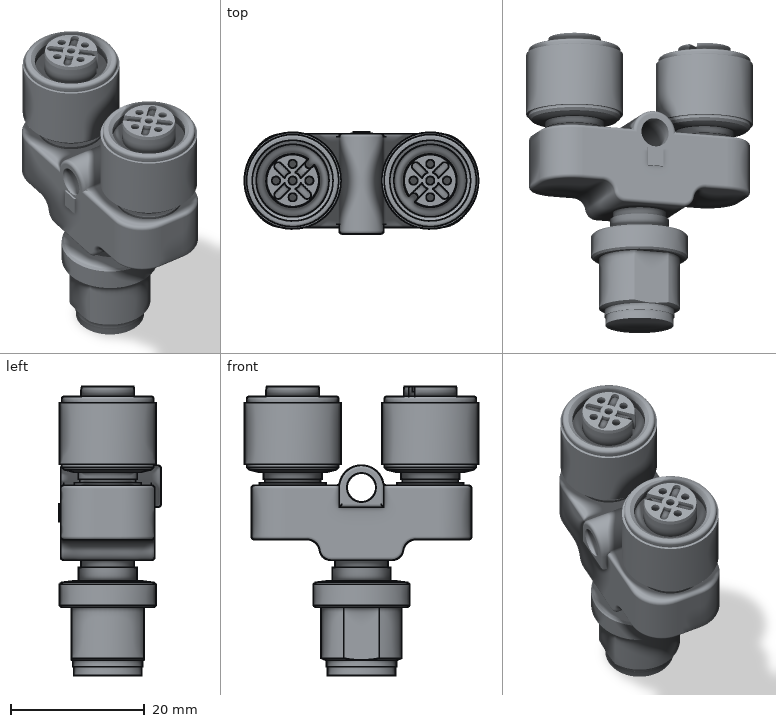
import math

import cadquery as cq


nut_radius = 7.25
nut_rim_radius = 6.9
nut_cone_radius = 4.9
neck_radius = 4.4

body_length = 33.0
body_depth = 14.1
body_top = 28.5
wing_bottom = 20.35
stem_bottom = 17.25
body_corner_radius = 5.0
stem_flat_length = 9.1
stem_inner_radius = 1.9
stem_outer_radius = 1.75
edge_radius = 0.5

eye_radius = 3.35
eye_hole_diameter = 4.3
eye_center_z = 28.15
eye_bottom = 25.2
eye_front = -8.0
eye_root_radius = 0.4

pad_width = 2.5
pad_bottom = 23.0
pad_top = 25.75
pad_thickness = 0.26

plug_tip_radius = 5.12
plug_tip_height = 1.3
plug_ring_radius = 5.25
plug_ring_top = 2.25
grip_radius = 6.07
grip_bottom = 2.6
grip_flat_distance = 10.9
collar_bottom = 10.2
collar_top = 13.95
collar_step = 0.3
plug_cone_top = 14.2
plug_neck_top = 16.2
stem_neck_radius = 4.0

socket_offset = 10.3
flange_radius = 5.0
flange_top = 28.9
groove_radius = 4.2
groove_top = 29.4
socket_cone_bottom = 30.4
nut_bottom = 30.8
nut_body_bottom = 31.6
nut_body_top = 40.85
nut_top = 41.8
rim_round = 0.4
bore_mouth_radius = 6.05
bore_radius = 5.45
bore_chamfer_depth = 0.5
bore_floor = 40.0

carrier_radius = 4.0
carrier_tip_radius = 3.9
carrier_tip_height = 0.55
carrier_top = 43.3
contact_diameter = 1.25
contact_spacing = 2.5
contact_depth = 2.5
slot_width = 1.2
slot_reach = 3.65
slot_depth = 0.8
slot_core_radius = 1.25
key_radius = 0.62
key_distance = 3.5


def revolved(points):
    """Solid of revolution about Z from (radius, height) points."""
    return cq.Workplane("XZ").polyline(points).close().revolve(360, (0, 0, 0), (0, 1, 0))


def make_body():
    """T-shaped block with rounded ends and S-shaped shoulders down to the stem."""
    half_length = body_length / 2
    flat = stem_flat_length / 2
    outer_z = stem_bottom + stem_outer_radius
    inner_z = wing_bottom - stem_inner_radius
    radius_sum = stem_outer_radius + stem_inner_radius
    tilt = math.asin((outer_z - inner_z) / radius_sum)
    inner_x = flat + radius_sum * math.cos(tilt)
    joint = (
        flat + stem_outer_radius * math.cos(tilt),
        outer_z - stem_outer_radius * math.sin(tilt),
    )
    middle_angle = (math.pi / 2 + tilt) / 2
    outer_mid = (
        flat + stem_outer_radius * math.cos(middle_angle),
        outer_z - stem_outer_radius * math.sin(middle_angle),
    )
    inner_mid = (
        inner_x - stem_inner_radius * math.cos(middle_angle),
        inner_z + stem_inner_radius * math.sin(middle_angle),
    )

    def left(point):
        return (-point[0], point[1])

    profile = (
        cq.Workplane("XZ")
        .moveTo(-flat, stem_bottom)
        .lineTo(flat, stem_bottom)
        .threePointArc(outer_mid, joint)
        .threePointArc(inner_mid, (inner_x, wing_bottom))
        .lineTo(half_length, wing_bottom)
        .lineTo(half_length, body_top)
        .lineTo(-half_length, body_top)
        .lineTo(-half_length, wing_bottom)
        .lineTo(-inner_x, wing_bottom)
        .threePointArc(left(inner_mid), left(joint))
        .threePointArc(left(outer_mid), (-flat, stem_bottom))
        .close()
    )
    block = profile.extrude(body_depth / 2, both=True)
    block = block.edges("|Z").fillet(body_corner_radius)
    return block.faces("<Y or >Y").edges("not |Z").fillet(edge_radius)


def make_eye():
    """Arched lug that runs front to back over the body."""
    lug_length = body_depth / 2 - eye_front
    lug = (
        cq.Workplane("XZ", origin=(0, body_depth / 2, 0))
        .moveTo(-eye_radius, eye_bottom)
        .lineTo(eye_radius, eye_bottom)
        .lineTo(eye_radius, eye_center_z)
        .threePointArc((0, eye_center_z + eye_radius), (-eye_radius, eye_center_z))
        .close()
        .extrude(lug_length)
    )
    return lug.faces("<Y or >Y").edges().fillet(edge_radius)


def make_eye_roots():
    """Concave rounds where the sides of the eye meet the top of the body."""
    center_z = body_top + eye_root_radius
    center_distance = eye_radius + eye_root_radius
    center_x = math.sqrt(center_distance**2 - (center_z - eye_center_z) ** 2)
    rise = math.asin((center_z - eye_center_z) / center_distance)
    touch_x = eye_radius * math.cos(rise)
    touch_z = eye_center_z + eye_radius * math.sin(rise)
    middle_angle = (math.pi / 2 + rise) / 2
    middle_x = center_x - eye_root_radius * math.cos(middle_angle)
    middle_z = center_z - eye_root_radius * math.sin(middle_angle)
    root = (
        cq.Workplane("XZ")
        .moveTo(center_x, body_top)
        .threePointArc((middle_x, middle_z), (touch_x, touch_z))
        .lineTo(eye_hole_diameter / 2, touch_z)
        .lineTo(eye_hole_diameter / 2, body_top - edge_radius)
        .lineTo(center_x, body_top - edge_radius)
        .close()
        .extrude(body_depth / 2 - edge_radius, both=True)
    )
    return root.union(root.mirror("YZ"))


def make_eye_hole():
    """Through hole of the mounting eye."""
    return (
        cq.Workplane("XZ", origin=(0, 0, eye_center_z))
        .circle(eye_hole_diameter / 2)
        .extrude(body_depth, both=True)
    )


def make_pad():
    """Small raised pad on the back of the body."""
    return (
        cq.Workplane("XZ", origin=(0, body_depth / 2 + pad_thickness, (pad_bottom + pad_top) / 2))
        .rect(pad_width, pad_top - pad_bottom)
        .extrude(2 * pad_thickness)
    )


def make_plug():
    """Plug with a collar and a grip that has two flats."""
    grip = revolved([
        (0, plug_ring_top),
        (plug_ring_radius, plug_ring_top),
        (grip_radius, grip_bottom),
        (grip_radius, collar_bottom),
        (0, collar_bottom),
    ])
    flats = cq.Workplane("XY").box(4 * grip_radius, grip_flat_distance, 4 * collar_bottom)
    tip = revolved([
        (0, 0),
        (plug_tip_radius, 0),
        (plug_tip_radius, plug_tip_height),
        (plug_ring_radius, plug_tip_height),
        (plug_ring_radius, plug_ring_top),
        (0, plug_ring_top),
    ])
    collar = revolved([
        (0, collar_bottom),
        (nut_rim_radius, collar_bottom),
        (nut_radius, collar_bottom + collar_step),
        (nut_radius, collar_top - collar_step),
        (nut_rim_radius, collar_top),
        (nut_cone_radius, plug_cone_top),
        (neck_radius, plug_cone_top),
        (neck_radius, plug_neck_top),
        (stem_neck_radius, plug_neck_top),
        (stem_neck_radius, wing_bottom),
        (0, wing_bottom),
    ])
    return grip.intersect(flats).union(tip).union(collar)


def make_carrier_cuts():
    """Contact holes, cross slots and keyway of one carrier, with the keyway toward +X."""
    top = cq.Workplane("XY", origin=(0, 0, carrier_top))
    slots = top.slot2D(2 * slot_reach, slot_width, 0).extrude(-slot_depth)
    slots = slots.union(top.slot2D(2 * slot_reach, slot_width, 90).extrude(-slot_depth))
    slots = slots.cut(top.circle(slot_core_radius).extrude(-slot_depth))
    holes = (
        top.polarArray(contact_spacing, 45, 360, 4)
        .circle(contact_diameter / 2)
        .extrude(-contact_depth)
    )
    center_hole = top.circle(contact_diameter / 2).extrude(-contact_depth)
    key_depth = carrier_top - bore_floor
    key = top.center(key_distance, 0).circle(key_radius).extrude(-key_depth)
    key_mouth = top.center(key_distance + key_radius / 2, 0).rect(key_radius, 2 * key_radius)
    key = key.union(key_mouth.extrude(-key_depth))
    return slots.union(holes).union(center_hole).union(key)


def make_socket(key_angle):
    """Socket on the Z axis: neck, nut and contact carrier, with the keyway at key_angle."""
    shell = revolved([
        (0, wing_bottom + edge_radius),
        (groove_radius, wing_bottom + edge_radius),
        (groove_radius, body_top),
        (flange_radius, body_top),
        (flange_radius, flange_top),
        (groove_radius, flange_top),
        (groove_radius, groove_top),
        (neck_radius, groove_top),
        (neck_radius, socket_cone_bottom),
        (nut_cone_radius, socket_cone_bottom),
        (nut_rim_radius - rim_round, nut_bottom),
        (nut_rim_radius, nut_bottom + rim_round),
        (nut_rim_radius, nut_body_bottom),
        (nut_radius, nut_body_bottom),
        (nut_radius, nut_body_top),
        (nut_rim_radius, nut_body_top),
        (nut_rim_radius, nut_top),
        (bore_mouth_radius, nut_top),
        (bore_radius, nut_top - bore_chamfer_depth),
        (bore_radius, bore_floor),
        (0, bore_floor),
    ])
    rim_edge = cq.selectors.RadiusNthSelector(-1)
    shell = shell.faces(">Z").edges(rim_edge).fillet(rim_round)
    carrier = revolved([
        (0, bore_floor),
        (carrier_radius, bore_floor),
        (carrier_radius, carrier_top - carrier_tip_height),
        (carrier_tip_radius, carrier_top),
        (0, carrier_top),
    ])
    cuts = make_carrier_cuts().rotate((0, 0, 0), (0, 0, 1), key_angle)
    return shell.union(carrier).cut(cuts)


result = make_body().union(make_eye()).union(make_eye_roots())
result = result.union(make_pad()).union(make_plug())
for side, key_angle in ((-1, 45), (1, 225)):
    result = result.union(make_socket(key_angle).translate((side * socket_offset, 0, 0)))
result = result.cut(make_eye_hole())